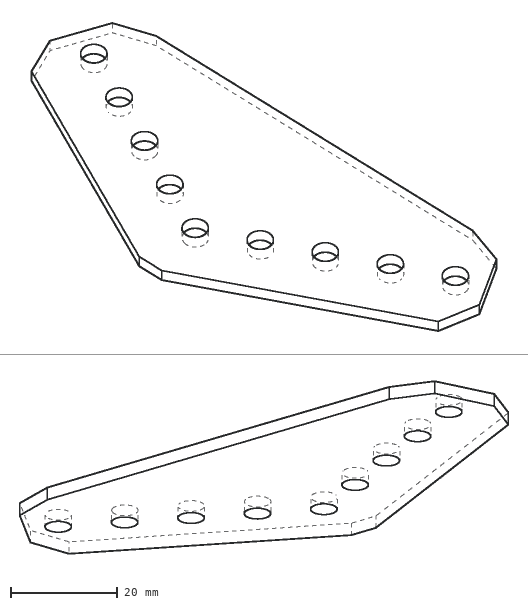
import cadquery as cq

overall_length = 97.4
thickness = 2.5
hole_diameter = 5.0
steps_per_arm = 4

arm_run = 0.6
arm_rise = 0.8

pitches_in_length = 0.5 + steps_per_arm + steps_per_arm * arm_run + arm_rise
pitch = overall_length / pitches_in_length
half_width = pitch
end_margin = pitch / 2
corner_cut = pitch / 2
elbow_cut = pitch / 4

elbow_x = end_margin + steps_per_arm * pitch
elbow_y = half_width


def on_second_arm(along, outward):
    """Point measured from the elbow hole, along the arm and toward its outer edge."""
    return (
        elbow_x + along * arm_run + outward * arm_rise,
        elbow_y + along * arm_rise - outward * arm_run,
    )


arm_end = steps_per_arm * pitch + end_margin
width = 2 * half_width

elbow_setback = half_width * (1 - arm_run) / arm_rise
elbow_corner_x = elbow_x + elbow_setback

outline = [
    (corner_cut, 0),
    (elbow_corner_x - elbow_cut, 0),
    on_second_arm(elbow_cut - elbow_setback, half_width),
    on_second_arm(arm_end - corner_cut, half_width),
    on_second_arm(arm_end, half_width - corner_cut),
    on_second_arm(arm_end, corner_cut - half_width),
    on_second_arm(arm_end - corner_cut, -half_width),
    (corner_cut, width),
    (0, width - corner_cut),
    (0, corner_cut),
]
plate = cq.Workplane("XY").polyline(outline).close().extrude(thickness)

first_row = [(elbow_x - step * pitch, elbow_y) for step in range(steps_per_arm + 1)]
second_row = [on_second_arm(step * pitch, 0) for step in range(1, steps_per_arm + 1)]
holes = (
    cq.Workplane("XY")
    .pushPoints(first_row + second_row)
    .circle(hole_diameter / 2)
    .extrude(thickness)
)

result = plate.cut(holes)